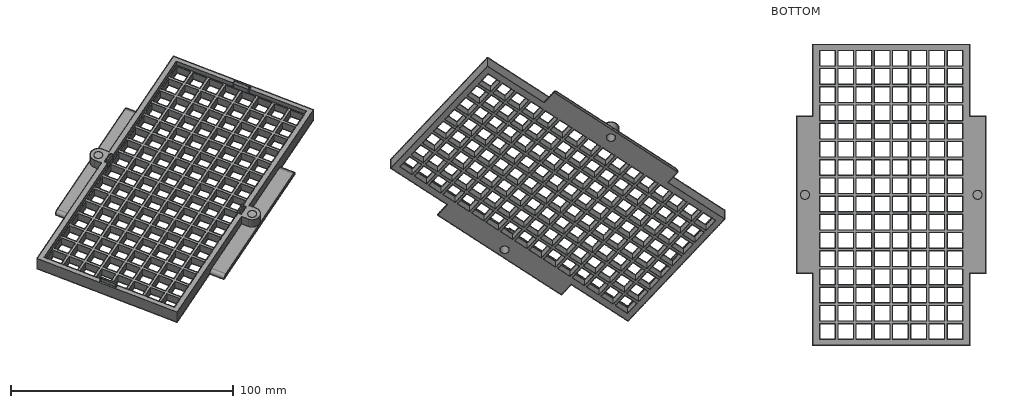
import cadquery as cq
frame_length = 135.4
frame_width = 70.7
frame_height = 7.0
side_wall = 2.6
end_wall = 2.2
inner_width = frame_width - 2 * side_wall
inner_length = frame_length - 2 * end_wall

columns = 8
rows = 16
cell_size = 6.9
bar_width = 1.29
cell_pitch = cell_size + bar_width
grid_top = 4.5

overall_width = 85.0
wing_reach = (overall_width - frame_width) / 2
wing_length = 70.7
wing_thickness = 2.0
wing_end_radius = 1.8

boss_width = 7.5
boss_radius = boss_width / 2
boss_centre_x = overall_width / 2 - boss_radius
pin_hole_diameter = 4.0
pin_hole_roof = 0.3

overall_height = 8.5
clip_tip = 0.8
clip_foot = 1.4
clip_clearance = 0.4
pocket_outer_wall = 0.8
side_clip_length = 4.0
side_clip_inset = 1.8
end_clip_length = 7.5
end_clip_inset = 1.2



def box_on_floor(size_x, size_y, size_z):
    """Box centred on X and Y with its underside on Z = 0."""
    return cq.Workplane("XY").box(size_x, size_y, size_z, centered=(True, True, False))


def make_frame():
    """Rim with the grid of through openings as its floor."""
    recess = box_on_floor(inner_width, inner_length, frame_height).translate((0, 0, grid_top))
    openings = (
        cq.Workplane("XY")
        .rarray(cell_pitch, cell_pitch, columns, rows)
        .rect(cell_size, cell_size)
        .extrude(grid_top)
    )
    return box_on_floor(frame_width, frame_length, frame_height).cut(recess).cut(openings)


def make_wing():
    """Thin plate outside the +X wall, its two ends rounded over on top."""
    return (
        box_on_floor(wing_reach, wing_length, wing_thickness)
        .edges(">Z and (>Y or <Y)")
        .fillet(wing_end_radius)
        .translate((frame_width / 2 + wing_reach / 2, 0, 0))
    )


def make_boss():
    """Round-nosed block running out from the +X wall."""
    neck_length = boss_centre_x - frame_width / 2
    neck = box_on_floor(neck_length, boss_width, frame_height)
    neck = neck.translate((frame_width / 2 + neck_length / 2, 0, 0))
    nose = cq.Workplane("XY").center(boss_centre_x, 0).circle(boss_radius).extrude(frame_height)
    return neck.union(nose)


def make_pin_hole():
    """Blind hole entering the +X boss from below."""
    depth = frame_height - pin_hole_roof
    return cq.Workplane("XY").center(boss_centre_x, 0).circle(pin_hole_diameter / 2).extrude(depth)


def make_clip(rim_face, inset, length):
    """Clip set in from the outer face of the +X rim, its inner face sloping above the rim."""
    back = rim_face - inset
    return (
        cq.Workplane("XZ")
        .moveTo(back, 0)
        .lineTo(back, overall_height)
        .lineTo(back - clip_tip, overall_height)
        .lineTo(back - clip_foot, frame_height)
        .lineTo(back - clip_foot, 0)
        .close()
        .extrude(length / 2, both=True)
    )


def make_clip_pocket(rim_face, rim_wall, length):
    """Pocket around a clip, open on top and towards the inside, down to the grid."""
    depth = rim_wall - pocket_outer_wall
    pocket = box_on_floor(depth, length + 2 * clip_clearance, frame_height)
    return pocket.translate((rim_face - pocket_outer_wall - depth / 2, 0, grid_top))


def quarter_turn(shape):
    """The shape moved from the +X side to the +Y side."""
    return shape.rotate((0, 0, 0), (0, 0, 1), 90)


def on_both_sides(shape):
    """The shape together with its half-turn copy about Z."""
    return shape.union(shape.rotate((0, 0, 0), (0, 0, 1), 180))


side_face = frame_width / 2
end_face = frame_length / 2
side_pocket = make_clip_pocket(side_face, side_wall, side_clip_length)
end_pocket = quarter_turn(make_clip_pocket(end_face, end_wall, end_clip_length))
side_clip = make_clip(side_face, side_clip_inset, side_clip_length)
end_clip = quarter_turn(make_clip(end_face, end_clip_inset, end_clip_length))

result = make_frame()
for pocket in (side_pocket, end_pocket):
    result = result.cut(on_both_sides(pocket))
for feature in (make_wing(), make_boss(), side_clip, end_clip):
    result = result.union(on_both_sides(feature))
result = result.cut(on_both_sides(make_pin_hole()))